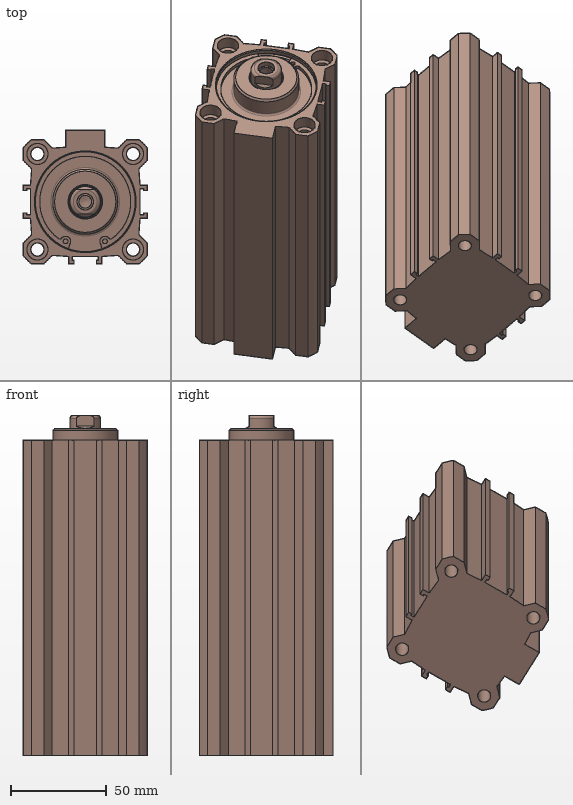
import cadquery as cq
import math

BODY_WIDTH = 65.0
BODY_HEIGHT = 165.0
COLLAR_TOP = 171.0
ROD_TOP = 178.0
HALF_WIDTH = BODY_WIDTH / 2

BOLT_SPACING = 50.0
CORNER_RADIUS = 43.0
CORNER_FLAT_END = 21.7
WALL_AT_CORNER = 28.1
WALL_AT_RIB = 28.7
RIB_OUTER = 8.7
RIB_THICKNESS = 2.0
HOOK_REACH = 2.9
HOOK_DEPTH = 2.0
RIB_ROOT = 26.5
PORT_WIDTH = 20.5
PORT_FACE = 37.5

BOLT_HOLE_DIAMETER = 6.8
COUNTERBORE_DIAMETER = 11.0
COUNTERBORE_DEPTH = 7.0
BORE_DIAMETER = 52.2
BORE_CHAMFER = 0.5
BORE_FLOOR = 150.0

RING_OUTER_DIAMETER = 55.2
RING_INNER_DIAMETER = 47.6
RING_THICKNESS = 2.0
RING_TOP_DEPTH = 2.6
LUG_DIAMETER = 5.3
LUG_HOLE_DIAMETER = 2.5
LUG_ROOT_FILLET = 1.0
LUG_X = 10.3
LUG_Y = -20.7

COLLAR_DIAMETER = 34.0
COLLAR_CHAMFER = 1.0
COLLAR_FOOT_FILLET = 0.9
WIPER_DIAMETER = 17.7
WIPER_MOUTH_DIAMETER = 18.0
WIPER_DEPTH = 1.5
WIPER_SEAT_DIAMETER = 16.54

ROD_DIAMETER = 16.0
ROD_TOP_FILLET = 1.75
FLAT_WIDTH = 13.0
FLAT_BOTTOM = 172.3
FLAT_SLOPE_HEIGHT = 1.1
THREAD_MOUTH_DIAMETER = 8.57
THREAD_MOUTH_DEPTH = 3.0
THREAD_DIAMETER = 6.65
THREAD_DEPTH = 13.0
DRILL_POINT_ANGLE = 160.0

RING_TOP = BODY_HEIGHT - RING_TOP_DEPTH
FLANGE_TOP = RING_TOP - RING_THICKNESS
CORNERS = [(sx * BOLT_SPACING / 2, sy * BOLT_SPACING / 2) for sx in (-1, 1) for sy in (-1, 1)]


def cylinder(diameter, bottom, top):
    return cq.Workplane("XY").workplane(offset=bottom).circle(diameter / 2).extrude(top - bottom)


def cone(bottom_diameter, top_diameter, bottom, top):
    base = cq.Vector(0, 0, bottom)
    solid = cq.Solid.makeCone(bottom_diameter / 2, top_diameter / 2, top - bottom, base)
    return cq.Workplane("XY").newObject([solid])


def core_block():
    """Square core with four corner posts; each side bulges slightly between the ribs."""
    arc_end = math.sqrt(CORNER_RADIUS**2 - HALF_WIDTH**2)
    arc_middle = CORNER_RADIUS / math.sqrt(2)
    corner_foot = CORNER_FLAT_END - (HALF_WIDTH - WALL_AT_CORNER)
    outline = cq.Workplane("XY").moveTo(-RIB_OUTER, -WALL_AT_RIB)
    for side in range(4):
        def turned(x, y, angle=math.radians(90 * side)):
            return (x * math.cos(angle) - y * math.sin(angle), x * math.sin(angle) + y * math.cos(angle))

        if side > 0:
            outline = outline.lineTo(*turned(-RIB_OUTER, -WALL_AT_RIB))
        outline = (
            outline.lineTo(*turned(RIB_OUTER, -WALL_AT_RIB))
            .lineTo(*turned(corner_foot, -WALL_AT_CORNER))
            .lineTo(*turned(CORNER_FLAT_END, -HALF_WIDTH))
            .lineTo(*turned(arc_end, -HALF_WIDTH))
            .threePointArc(turned(arc_middle, -arc_middle), turned(HALF_WIDTH, -arc_end))
            .lineTo(*turned(HALF_WIDTH, -CORNER_FLAT_END))
            .lineTo(*turned(WALL_AT_CORNER, -corner_foot))
        )
    return outline.close().extrude(BODY_HEIGHT)


def hooked_rib():
    """Rib on the -Y side, left of the centre, with its tip hooked towards the centre."""
    stem_inner = -RIB_OUTER + RIB_THICKNESS
    hook_inner = -RIB_OUTER + HOOK_REACH
    hook_start = -HALF_WIDTH + HOOK_DEPTH
    outline = [
        (-RIB_OUTER, -RIB_ROOT),
        (-RIB_OUTER, -HALF_WIDTH),
        (hook_inner, -HALF_WIDTH),
        (hook_inner, hook_start),
        (stem_inner, hook_start),
        (stem_inner, -RIB_ROOT),
    ]
    return cq.Workplane("XY").polyline(outline).close().extrude(BODY_HEIGHT)


def housing_body():
    body = core_block()
    rib_pair = hooked_rib().union(hooked_rib().mirror("YZ"))
    for angle in (-90, 0, 90):
        body = body.union(rib_pair.rotate((0, 0, 0), (0, 0, 1), angle))

    port_rail = (
        cq.Workplane("XY")
        .center(0, (RIB_ROOT + PORT_FACE) / 2)
        .rect(PORT_WIDTH, PORT_FACE - RIB_ROOT)
        .extrude(BODY_HEIGHT)
    )
    body = body.union(port_rail)

    body = (
        body.faces(">Z")
        .workplane(origin=(0, 0, BODY_HEIGHT))
        .pushPoints(CORNERS)
        .cboreHole(BOLT_HOLE_DIAMETER, COUNTERBORE_DIAMETER, COUNTERBORE_DEPTH)
    )

    mouth_diameter = BORE_DIAMETER + 2 * BORE_CHAMFER
    body = body.cut(cylinder(BORE_DIAMETER, BORE_FLOOR, BODY_HEIGHT))
    body = body.cut(cone(BORE_DIAMETER, mouth_diameter, BODY_HEIGHT - BORE_CHAMFER, BODY_HEIGHT))
    return body.cut(cylinder(RING_OUTER_DIAMETER, FLANGE_TOP, RING_TOP))


def retaining_ring():
    """Open ring whose two ends carry drilled lugs, cut off along radial lines."""
    ring = cylinder(RING_OUTER_DIAMETER, FLANGE_TOP, RING_TOP)
    ring = ring.cut(cylinder(RING_INNER_DIAMETER, FLANGE_TOP, RING_TOP))

    lug_distance = math.hypot(LUG_X, LUG_Y)
    gap_half_angle = math.atan2(LUG_X, -LUG_Y) - math.asin(LUG_DIAMETER / 2 / lug_distance)
    gap_depth = RING_OUTER_DIAMETER
    gap_half_width = gap_depth * math.tan(gap_half_angle)
    gap = (
        cq.Workplane("XY")
        .workplane(offset=FLANGE_TOP)
        .polyline([(0, 0), (-gap_half_width, -gap_depth), (gap_half_width, -gap_depth)])
        .close()
        .extrude(RING_THICKNESS)
    )
    ring = ring.cut(gap)

    lug_centres = [(-LUG_X, LUG_Y), (LUG_X, LUG_Y)]
    plane = cq.Workplane("XY").workplane(offset=FLANGE_TOP).pushPoints(lug_centres)
    ring = ring.union(plane.circle(LUG_DIAMETER / 2).extrude(RING_THICKNESS))

    lug_bottom = LUG_Y - LUG_DIAMETER / 2
    lug_top = LUG_Y + LUG_DIAMETER / 2
    half_ring = RING_INNER_DIAMETER / 2
    beside_lugs = cq.selectors.BoxSelector(
        (-half_ring, lug_bottom, FLANGE_TOP), (half_ring, lug_top, RING_TOP)
    )
    between_lugs = cq.selectors.BoxSelector(
        (-LUG_X, -BODY_WIDTH, FLANGE_TOP), (LUG_X, BODY_WIDTH, RING_TOP)
    )
    lug_roots = beside_lugs - between_lugs
    ring = ring.edges("|Z").edges(lug_roots).fillet(LUG_ROOT_FILLET)
    return ring.cut(plane.circle(LUG_HOLE_DIAMETER / 2).extrude(RING_THICKNESS))


def rod_cover():
    """Flange under the retaining ring with a raised collar around the rod."""
    cover = cylinder(BORE_DIAMETER, BORE_FLOOR, FLANGE_TOP)
    collar = cylinder(COLLAR_DIAMETER, BORE_FLOOR, COLLAR_TOP).faces(">Z").chamfer(COLLAR_CHAMFER)
    cover = cover.union(collar)

    foot_edge = cover.edges("%CIRCLE").edges(cq.selectors.RadiusNthSelector(1)).edges("<Z")
    cover = foot_edge.fillet(COLLAR_FOOT_FILLET)

    wiper_floor = COLLAR_TOP - WIPER_DEPTH
    mouth_chamfer = (WIPER_MOUTH_DIAMETER - WIPER_DIAMETER) / 2
    seat_chamfer = (WIPER_SEAT_DIAMETER - ROD_DIAMETER) / 2
    cover = cover.cut(cylinder(ROD_DIAMETER, BORE_FLOOR, COLLAR_TOP))
    cover = cover.cut(cylinder(WIPER_DIAMETER, wiper_floor, COLLAR_TOP))
    cover = cover.cut(cone(WIPER_DIAMETER, WIPER_MOUTH_DIAMETER, COLLAR_TOP - mouth_chamfer, COLLAR_TOP))
    return cover.cut(cone(ROD_DIAMETER, WIPER_SEAT_DIAMETER, wiper_floor - seat_chamfer, wiper_floor))


def flat_cutter():
    """Cuts the wrench flat on the -Y side; below the flat, a slope runs out to the rod surface."""
    flat_y = -FLAT_WIDTH / 2
    rod_y = -ROD_DIAMETER / 2
    slope_end = FLAT_BOTTOM - FLAT_SLOPE_HEIGHT
    profile = [(flat_y, ROD_TOP), (flat_y, FLAT_BOTTOM), (rod_y, slope_end), (rod_y, ROD_TOP)]
    return cq.Workplane("YZ").polyline(profile).close().extrude(ROD_DIAMETER / 2, both=True)


def piston_rod():
    rod = cylinder(ROD_DIAMETER, BORE_FLOOR, ROD_TOP).faces(">Z").edges().fillet(ROD_TOP_FILLET)
    rod = rod.cut(flat_cutter()).cut(flat_cutter().mirror("XZ"))

    thread_floor = ROD_TOP - THREAD_DEPTH
    point_depth = THREAD_DIAMETER / 2 / math.tan(math.radians(DRILL_POINT_ANGLE / 2))
    rod = rod.cut(cylinder(THREAD_MOUTH_DIAMETER, ROD_TOP - THREAD_MOUTH_DEPTH, ROD_TOP))
    rod = rod.cut(cylinder(THREAD_DIAMETER, thread_floor, ROD_TOP))
    return rod.cut(cone(0, THREAD_DIAMETER, thread_floor - point_depth, thread_floor))


housing = housing_body()
ring = retaining_ring()
cover = rod_cover()
rod = piston_rod()

bodies = [housing, ring, cover, rod]
result = cq.Compound.makeCompound([body.solids().val() for body in bodies])